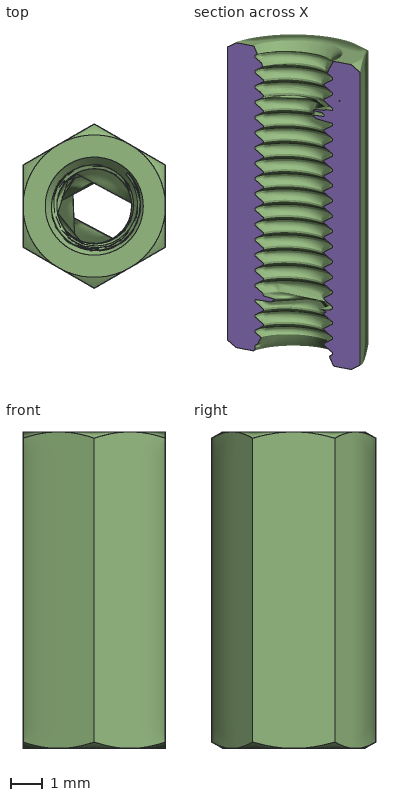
import cadquery as cq
import math

side_count = 6
across_flats = 4.5
length = 10.0
corner_chamfer_angle = 30.0

thread_major_diameter = 3.0
thread_pitch = 0.5
thread_minor_diameter = 2.36
groove_root_width = thread_pitch / 8
groove_mouth_width = thread_pitch * 7 / 8
groove_overlap = 0.02
thread_end_inset = 0.15
thread_end_angle = 45.0

countersink_diameter = 3.1
countersink_half_angle = 30.0

half_side_angle = 180 / side_count
across_corners = across_flats / math.cos(math.radians(half_side_angle))


def hexagonal_bar():
    """Hexagonal prism with two flats facing +X and -X."""
    return (
        cq.Workplane("XY")
        .polygon(side_count, across_corners)
        .extrude(length)
        .rotate((0, 0, 0), (0, 0, 1), half_side_angle)
        .translate((0, 0, -length / 2))
    )


def corner_chamfer_envelope():
    """Turned body whose conical ends trim the corners of the hexagon."""
    face_radius = across_flats / 2
    outer_radius = across_corners
    cone_drop = (outer_radius - face_radius) * math.tan(math.radians(corner_chamfer_angle))
    top = length / 2
    shoulder = top - cone_drop
    return (
        cq.Workplane("XZ")
        .moveTo(0, -top)
        .lineTo(face_radius, -top)
        .lineTo(outer_radius, -shoulder)
        .lineTo(outer_radius, shoulder)
        .lineTo(face_radius, top)
        .lineTo(0, top)
        .close()
        .revolve(360, (0, 0, 0), (0, 1, 0))
    )


def countersunk_bore():
    """Through bore at the thread minor diameter, flared at both ends."""
    bore_radius = thread_minor_diameter / 2
    mouth_radius = countersink_diameter / 2
    depth = (mouth_radius - bore_radius) / math.tan(math.radians(countersink_half_angle))
    top = length / 2
    return (
        cq.Workplane("XZ")
        .moveTo(0, -top)
        .lineTo(mouth_radius, -top)
        .lineTo(bore_radius, depth - top)
        .lineTo(bore_radius, top - depth)
        .lineTo(mouth_radius, top)
        .lineTo(0, top)
        .close()
        .revolve(360, (0, 0, 0), (0, 1, 0))
    )


def thread_groove():
    """Right-hand helical groove running from one countersink to the other."""
    minor_radius = thread_minor_diameter / 2
    root_radius = thread_major_diameter / 2
    flank_slope = (groove_mouth_width - groove_root_width) / 2 / (root_radius - minor_radius)
    inner_radius = minor_radius - groove_overlap
    inner_half_width = groove_mouth_width / 2 + flank_slope * groove_overlap
    root_half_width = groove_root_width / 2
    thread_length = length - 2 * thread_end_inset
    corners = [
        (inner_radius, -inner_half_width),
        (root_radius, -root_half_width),
        (root_radius, root_half_width),
        (inner_radius, inner_half_width),
    ]

    helices = []
    for radius, offset in corners:
        helix = cq.Wire.makeHelix(thread_pitch, thread_length, radius)
        helices.append(helix.translate(cq.Vector(0, 0, offset - thread_length / 2)))

    faces = []
    for index, helix in enumerate(helices):
        next_helix = helices[(index + 1) % len(helices)]
        faces.append(cq.Face.makeRuledSurface(helix, next_helix))
    start_points = [helix.startPoint() for helix in helices]
    end_points = [helix.endPoint() for helix in helices]
    for points in (start_points, end_points):
        faces.append(cq.Face.makeFromWires(cq.Wire.makePolygon(points, close=True)))

    groove = cq.Solid.makeSolid(cq.Shell.makeShell(faces)).fix()
    start_angle = thread_end_angle - 360 * thread_length / thread_pitch
    return cq.Workplane(groove).rotate((0, 0, 0), (0, 0, 1), start_angle)


trimmed_bar = hexagonal_bar().intersect(corner_chamfer_envelope())
result = trimmed_bar.cut(countersunk_bore()).cut(thread_groove())